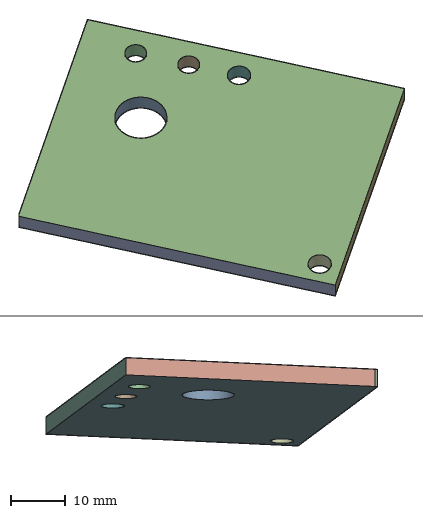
import cadquery as cq
import math

overall_x = 62.05
overall_y = 50.0
thickness = 3.2
tilt = 2.6

cos_tilt = math.cos(math.radians(tilt))
sin_tilt = math.sin(math.radians(tilt))
cos_double = math.cos(math.radians(2 * tilt))
length = (overall_x * cos_tilt - overall_y * sin_tilt) / cos_double
width = (overall_y * cos_tilt - overall_x * sin_tilt) / cos_double

corner_cut_along_length = 0.2
corner_cut_along_width = 0.55

row_small_diameter = 4.0
screw_diameter = 4.2
large_diameter = 9.5
through_holes = [
    (-20.25, 17.55, row_small_diameter),
    (-10.25, 18.05, row_small_diameter),
    (-0.75, 18.55, screw_diameter),
    (26.8, -18.5, screw_diameter),
    (-14.7, 3.65, large_diameter),
]

left = -length / 2
right = length / 2
bottom = -width / 2
top = width / 2
plate_outline = [
    (left + corner_cut_along_length, bottom),
    (right, bottom),
    (right, top),
    (left, top),
    (left, bottom + corner_cut_along_width),
]

result = (
    cq.Workplane("XY")
    .transformed(rotate=(0, 0, tilt))
    .polyline(plate_outline)
    .close()
    .extrude(thickness)
)

for x, y, diameter in through_holes:
    hole = cq.Workplane("XY").center(x, y).circle(diameter / 2).extrude(thickness)
    result = result.cut(hole)